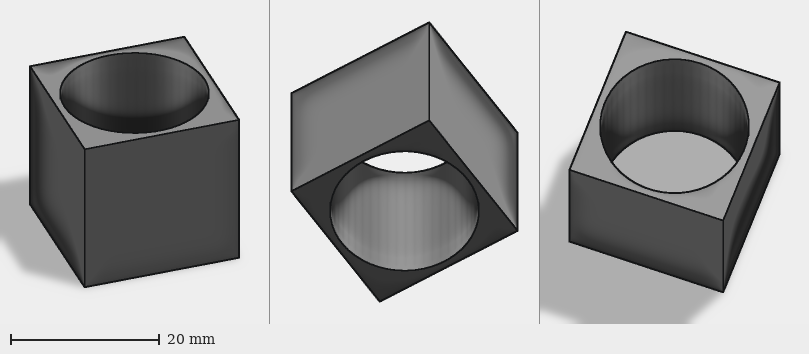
import cadquery as cq

side = 22.0
bore_diameter = 20.0

block = cq.Workplane("XY").box(side, side, side)
result = block.faces(">Z").workplane().hole(bore_diameter)